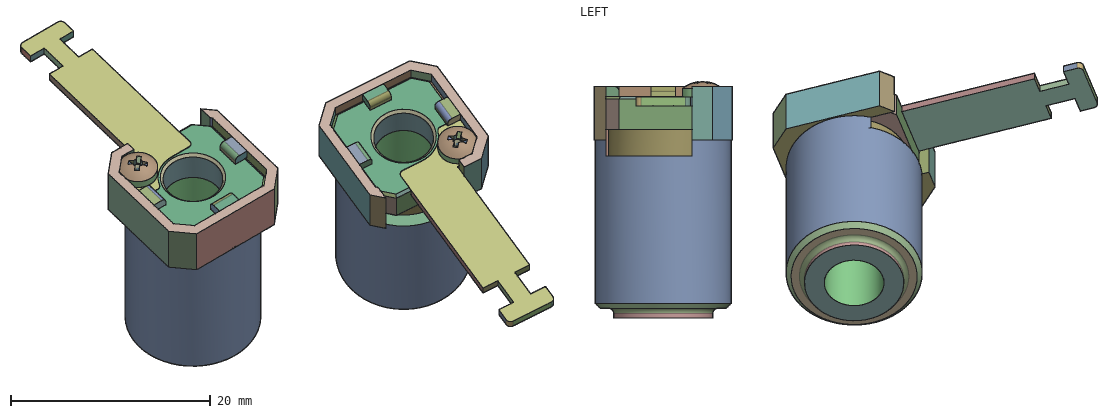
import cadquery as cq
import math


head_width = 13.9
head_corner = 2.0
head_height = 5.4

pocket_width = 11.87
pocket_corner = 1.5
pocket_depth = 4.35

barrel_diameter = 13.7
barrel_chamfer = 0.5
bore_diameter = 6.0
spigot_diameter = 10.0
spigot_length = 1.0
spigot_fillet = 0.5
housing_height = 23.3

opening_y_min = -2.9
opening_y_max = 5.77
opening_depth = 7.0
neck_diameter = 11.0

tab_width = 2.5
tab_length = 1.5
tab_height = 1.0
tab_round = 0.5
tab_angles = (0, 90, -90)

insert_chamfer = 0.3

lever_thickness = 0.9
lever_top = -1.05
lever_width = 5.5
lever_tip_x = head_width / 2 - 31.9
lever_tip_length = 1.95
lever_notch_length = 3.05
lever_notch_width = 2.0
lever_relief_radius = 3.5
lever_pivot_edge_x = -0.93
lever_fillet = 0.5

screw_diameter = 4.0
screw_rise = 0.5
screw_dome_height = 0.7
cross_span = 1.95
cross_arm_width = 0.45
cross_depth = 1.15
cross_cone_diameter = 2.3
center_pit_diameter = 0.95
center_pit_wall = 0.83
center_pit_depth = 1.1

pocket_half = pocket_width / 2
pocket_flat = pocket_half - pocket_corner
barrel_bottom = spigot_length - housing_height
insert_top = -tab_height
insert_height = pocket_depth - tab_height
lever_bottom = lever_top - lever_thickness
screw_center = screw_diameter / 2 - pocket_half


def octagon_prism(width, corner, top, height):
    """Square prism with cut corners, hanging down from the level `top`."""
    block = cq.Workplane("XY").workplane(offset=top - height).rect(width, width).extrude(height)
    return block.edges("|Z").chamfer(corner)


def cylinder(diameter, top, height):
    """Cylinder about the Z axis, hanging down from the level `top`."""
    return cq.Workplane("XY").workplane(offset=top - height).circle(diameter / 2).extrude(height)


def make_barrel():
    """Barrel with a chamfered lower rim and a filleted spigot below it."""
    barrel_radius = barrel_diameter / 2
    spigot_radius = spigot_diameter / 2
    arc_offset = spigot_fillet * (1 - math.sqrt(0.5))
    return (
        cq.Workplane("XZ")
        .moveTo(0, -pocket_depth)
        .lineTo(barrel_radius, -pocket_depth)
        .lineTo(barrel_radius, barrel_bottom + barrel_chamfer)
        .lineTo(barrel_radius - barrel_chamfer, barrel_bottom)
        .lineTo(spigot_radius + spigot_fillet, barrel_bottom)
        .threePointArc(
            (spigot_radius + arc_offset, barrel_bottom - arc_offset),
            (spigot_radius, barrel_bottom - spigot_fillet),
        )
        .lineTo(spigot_radius, -housing_height)
        .lineTo(0, -housing_height)
        .close()
        .revolve(360, (0, 0, 0), (0, 1, 0))
    )


def make_opening():
    """Side opening toward -X, leaving the neck standing under the pocket."""
    opening = cq.Workplane("XY").box(
        head_width / 2, opening_y_max - opening_y_min, opening_depth, centered=False
    ).translate((-head_width / 2, opening_y_min, -opening_depth))
    return opening.cut(cylinder(neck_diameter, -pocket_depth, opening_depth - pocket_depth))


def make_tab(angle):
    """Tab with a rounded upper edge, against the pocket wall at `angle` degrees from +X."""
    tab = (
        cq.Workplane("XY")
        .box(tab_length, tab_width, tab_height, centered=(False, True, False))
        .edges("<X and >Z")
        .fillet(tab_round)
    )
    return tab.translate((pocket_half - tab_length, 0, insert_top)).rotate((0, 0, 0), (0, 0, 1), angle)


def make_housing(screw_blank):
    """Head, barrel and spigot in one piece, relieved where the screw head enters a pocket corner."""
    head = octagon_prism(head_width, head_corner, 0, head_height)
    housing = head.union(make_barrel())
    housing = housing.cut(octagon_prism(pocket_width, pocket_corner, 0, pocket_depth))
    housing = housing.cut(cylinder(bore_diameter, 0, housing_height))
    housing = housing.cut(make_opening())
    return housing.cut(screw_blank)


def make_lever_blank(top, height):
    """Lever outline as a prism hanging down from `top`."""
    half = lever_width / 2
    notch_half = lever_notch_width / 2
    notch_start = lever_tip_x + lever_tip_length
    notch_end = notch_start + lever_notch_length
    relief = lever_relief_radius
    relief_end_y = -math.sqrt(relief**2 - lever_pivot_edge_x**2)
    mid_angle = (math.pi + math.atan2(relief_end_y, lever_pivot_edge_x) + 2 * math.pi) / 2
    blank = (
        cq.Workplane("XY")
        .workplane(offset=top - height)
        .moveTo(lever_tip_x, half)
        .lineTo(notch_start, half)
        .lineTo(notch_start, notch_half)
        .lineTo(notch_end, notch_half)
        .lineTo(notch_end, half)
        .lineTo(-relief, half)
        .lineTo(-relief, 0)
        .threePointArc(
            (relief * math.cos(mid_angle), relief * math.sin(mid_angle)),
            (lever_pivot_edge_x, relief_end_y),
        )
        .lineTo(lever_pivot_edge_x, -pocket_half)
        .lineTo(-pocket_flat, -pocket_half)
        .lineTo(-pocket_half, -pocket_flat)
        .lineTo(-pocket_half, -half)
        .lineTo(notch_end, -half)
        .lineTo(notch_end, -notch_half)
        .lineTo(notch_start, -notch_half)
        .lineTo(notch_start, -half)
        .lineTo(lever_tip_x, -half)
        .close()
        .extrude(height)
    )
    rounded_corners = (
        (lever_tip_x, half),
        (lever_tip_x, -half),
        (-relief, half),
        (lever_pivot_edge_x, relief_end_y),
    )
    for x, y in rounded_corners:
        corner_edge = cq.selectors.NearestToPointSelector((x, y, top - height / 2))
        blank = blank.edges("|Z").edges(corner_edge).fillet(lever_fillet)
    return blank


def make_lever():
    """Lever plate in its open position."""
    return make_lever_blank(lever_top, lever_thickness)


def make_insert():
    """Octagonal block with a bore, a recess for the lever and three tabs flush with the housing top."""
    insert = octagon_prism(pocket_width, pocket_corner, insert_top, insert_height)
    insert = insert.faces(">Z").chamfer(insert_chamfer)
    insert = insert.cut(cylinder(bore_diameter, insert_top, insert_height))
    insert = insert.faces(">Z").edges("%CIRCLE").chamfer(insert_chamfer)
    insert = insert.cut(make_lever_blank(insert_top, insert_top - lever_bottom))
    for angle in tab_angles:
        insert = insert.union(make_tab(angle))
    return insert


def revolved_pit(diameter, wall_depth, full_depth):
    """Pit about the Z axis below the screw top: a straight wall, then a pointed floor."""
    radius = diameter / 2
    profile = cq.Workplane("XZ").moveTo(0, screw_rise).lineTo(radius, screw_rise)
    if wall_depth > 0:
        profile = profile.lineTo(radius, screw_rise - wall_depth)
    return profile.lineTo(0, screw_rise - full_depth).close().revolve(360, (0, 0, 0), (0, 1, 0))


def make_cross_recess():
    """Four diagonal arms whose floors slope down to a center pit."""
    slot = (
        cq.Workplane("XY")
        .workplane(offset=screw_rise - cross_depth)
        .rect(cross_span, cross_arm_width)
        .extrude(cross_depth)
    )
    cross = slot.rotate((0, 0, 0), (0, 0, 1), 45).union(slot.rotate((0, 0, 0), (0, 0, 1), -45))
    cross = cross.intersect(revolved_pit(cross_cone_diameter, 0, cross_depth))
    return cross.union(revolved_pit(center_pit_diameter, center_pit_wall, center_pit_depth))


def make_screw_head():
    """Solid domed head about the Z axis, resting on the lever."""
    radius = screw_diameter / 2
    rim_z = screw_rise - screw_dome_height
    dome_radius = (radius**2 + screw_dome_height**2) / (2 * screw_dome_height)
    dome_center_z = screw_rise - dome_radius
    mid_x = radius / 2
    mid_z = dome_center_z + math.sqrt(dome_radius**2 - mid_x**2)
    return (
        cq.Workplane("XZ")
        .moveTo(0, lever_top)
        .lineTo(radius, lever_top)
        .lineTo(radius, rim_z)
        .threePointArc((mid_x, mid_z), (0, screw_rise))
        .close()
        .revolve(360, (0, 0, 0), (0, 1, 0))
    )


screw_place = (screw_center, screw_center, 0)
screw_blank = make_screw_head().translate(screw_place)
screw = screw_blank.cut(make_cross_recess().translate(screw_place))
housing = make_housing(screw_blank)
insert = make_insert()
lever = make_lever()

bodies = [housing, insert, lever, screw]
result = cq.Compound.makeCompound([body.solids().val() for body in bodies])